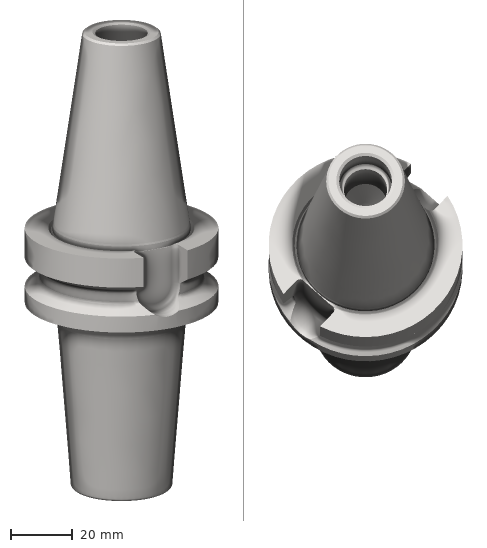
import cadquery as cq
import math

total_length = 155.4
flange_bottom = 63.0
flange_top = 88.3
gauge_height = 90.0

gauge_radius = 22.2
taper_slope = 7 / 48
shank_edge_chamfer = 0.6
collar_radius = 22.4
collar_top = 89.4

relief_radius = 23.8
relief_depth = 0.8

flange_radius = 31.47
groove_radius = 26.5
groove_top = 78.3
groove_bottom = 68.4
groove_wall_angle = 30
groove_fillet = 1.0

nose_radius = 21.0
nose_cone_top = 57.0
nose_tip_radius = 16.5
nose_edge_fillet = 1.0
nose_root_fillet = 1.9

slot_width = 16.2
slot_floor = 22.5
slot_arc_height = 75.2
slot_fillet = 1.7

bore_radius = 8.5
bore_depth = 8.7
bore_chamfer_width = 1.0
bore_chamfer_depth = 0.5
pilot_radius = 7.0
ledge_drop = 0.8
pilot_depth = 24.9
drill_point_angle = 118


def make_body():
    """Revolve the shank, flange and nose about Z."""
    wall_height = (flange_radius - groove_radius) * math.tan(math.radians(groove_wall_angle))
    shank_top_radius = gauge_radius - (total_length - gauge_height) * taper_slope
    chamfer_radius = shank_top_radius + shank_edge_chamfer * taper_slope
    relief_floor = flange_top - relief_depth
    profile = [
        (0, 0),
        (nose_tip_radius, 0),
        (nose_radius, nose_cone_top),
        (nose_radius, flange_bottom),
        (flange_radius, flange_bottom),
        (flange_radius, groove_bottom),
        (groove_radius, groove_bottom + wall_height),
        (groove_radius, groove_top - wall_height),
        (flange_radius, groove_top),
        (flange_radius, flange_top),
        (relief_radius, flange_top),
        (relief_radius - relief_depth, relief_floor),
        (collar_radius, relief_floor),
        (collar_radius, collar_top),
        (gauge_radius, gauge_height),
        (chamfer_radius, total_length - shank_edge_chamfer),
        (shank_top_radius - shank_edge_chamfer, total_length),
        (0, total_length),
    ]
    body = cq.Workplane("XZ").polyline(profile).close().revolve(360, (0, 0), (0, 1))

    def circle_edges(radius, height):
        middle = cq.selectors.BoxSelector(
            (-radius - 0.2, -radius - 0.2, height - 0.2),
            (radius + 0.2, radius + 0.2, height + 0.2),
            boundingbox=True,
        )
        return body.edges(middle).edges("%CIRCLE")

    body = circle_edges(groove_radius, groove_bottom + wall_height).fillet(groove_fillet)
    body = circle_edges(groove_radius, groove_top - wall_height).fillet(groove_fillet)
    body = circle_edges(nose_radius, flange_bottom).fillet(nose_root_fillet)
    return circle_edges(nose_tip_radius, 0).fillet(nose_edge_fillet)


def make_slot_cutter():
    """Round-bottomed slot on the +X side with a filleted floor edge."""
    half_width = slot_width / 2
    cutter_top = flange_top + 2 * slot_fillet
    cutter = (
        cq.Workplane("YZ", origin=(slot_floor, 0, 0))
        .moveTo(-half_width, cutter_top)
        .lineTo(-half_width, slot_arc_height)
        .threePointArc((0, slot_arc_height - half_width), (half_width, slot_arc_height))
        .lineTo(half_width, cutter_top)
        .close()
        .extrude(flange_radius)
    )
    return cutter.faces("<X").edges("not >Z").fillet(slot_fillet)


def make_bore_cutter():
    """Chamfered bore, conical ledge, smaller pilot hole and conical drill point."""
    pilot_end = total_length - pilot_depth
    point_height = pilot_radius / math.tan(math.radians(drill_point_angle / 2))
    profile = [
        (0, total_length),
        (bore_radius + bore_chamfer_width, total_length),
        (bore_radius, total_length - bore_chamfer_depth),
        (bore_radius, total_length - bore_depth),
        (pilot_radius, total_length - bore_depth - ledge_drop),
        (pilot_radius, pilot_end),
        (0, pilot_end - point_height),
    ]
    return cq.Workplane("XZ").polyline(profile).close().revolve(360, (0, 0), (0, 1))


result = make_body().cut(make_bore_cutter())
slot_cutter = make_slot_cutter()
for angle in (0, 180):
    result = result.cut(slot_cutter.rotate((0, 0, 0), (0, 0, 1), angle))